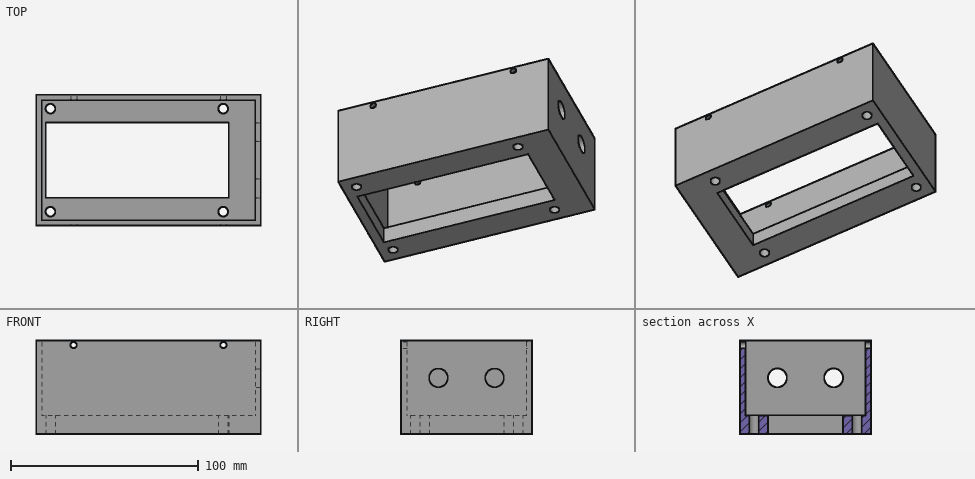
import cadquery as cq

length = 120.0
width = 70.0
height = 50.0
wall = 3.0
floor_thickness = 10.0

window_start = 5.3
window_length = 97.5
window_width = 40.0

mount_diameter = 5.0
mount_first_x = 7.7
mount_spacing_x = 92.2
mount_spacing_y = 55.0

screw_diameter = 3.2
screw_end_distance = 20.0
screw_depth = 2.5

cable_diameter = 10.0
cable_spacing = 30.0
cable_height = 30.0

mid_y = width / 2


def block(x_size, y_size, z_size, x, y, z):
    """Box given by its size and its lowest corner."""
    return cq.Workplane("XY").box(x_size, y_size, z_size, centered=False).translate((x, y, z))


def hole(diameter, depth, start, direction):
    """Cylinder that cuts a hole from a start point along a direction."""
    return cq.Workplane(cq.Solid.makeCylinder(diameter / 2, depth, cq.Vector(*start), cq.Vector(*direction)))


result = block(length, width, height, 0, 0, 0)
result = result.cut(block(length - 2 * wall, width - 2 * wall, height, wall, wall, floor_thickness))

window_y = mid_y - window_width / 2
result = result.cut(block(window_length, window_width, floor_thickness, window_start, window_y, 0))

for x in (mount_first_x, mount_first_x + mount_spacing_x):
    for side in (-1, 1):
        y = mid_y + side * mount_spacing_y / 2
        result = result.cut(hole(mount_diameter, floor_thickness, (x, y, 0), (0, 0, 1)))

for x in (screw_end_distance, length - screw_end_distance):
    result = result.cut(hole(screw_diameter, width, (x, 0, height - screw_depth), (0, 1, 0)))

for side in (-1, 1):
    y = mid_y + side * cable_spacing / 2
    result = result.cut(hole(cable_diameter, wall, (length - wall, y, cable_height), (1, 0, 0)))